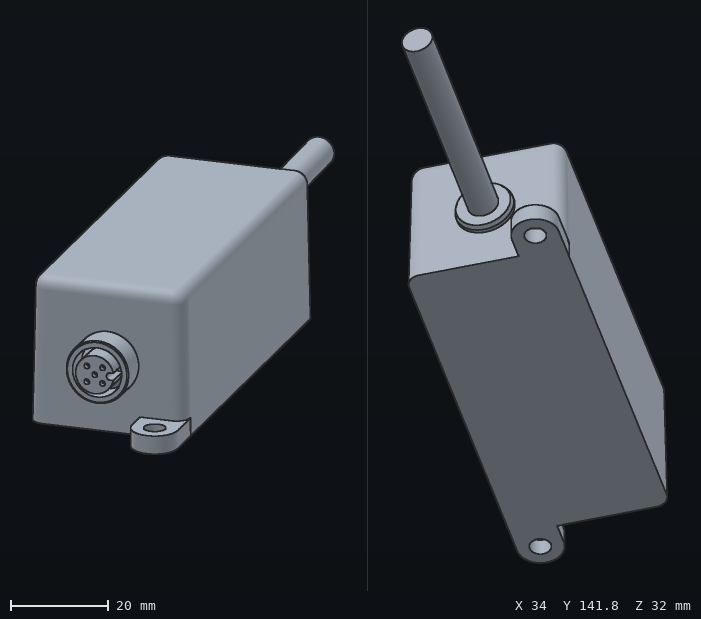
import cadquery as cq
import math

width = 34.0
body_length = 80.0
height = 32.0
draft_angle = 1.0
edge_radius = 3.0

lug_width = 9.9
lug_thickness = 4.0
lug_hole_diameter = 4.5
lug_span = 100.0

port_height = 14.9
port_root = 1.4

socket_diameter = 13.5
socket_length = 6.5
socket_rim_chamfer = 0.3
recess_diameter = 10.6
recess_depth = 5.7
flare_height = 1.3
insert_diameter = 8.2
insert_projection = 1.5
contact_diameter = 1.1
contact_depth = 1.4
contact_offset = 1.7
key_diameter = 1.5

gland_diameter = 12.5
gland_length = 1.8
gland_chamfer_radial = 0.4
gland_chamfer_axial = 1.0
cable_diameter = 6.5
overall_length = 141.8

draft = math.radians(draft_angle)
wall_y = body_length / 2 - port_height * math.tan(draft)
cable_end_y = overall_length - lug_span / 2


def port_plane(side):
    """Plane on an end wall (side is +1 or -1 along Y), normal to the drafted wall."""
    normal = (0, side * math.cos(draft), math.sin(draft))
    return cq.Plane(origin=(0, side * wall_y, port_height), xDir=(1, 0, 0), normal=normal)


def cylinder(plane, diameter, start, end):
    """Cylinder along the plane normal between two offsets from the plane."""
    return cq.Workplane(plane).workplane(offset=start).circle(diameter / 2).extrude(end - start)


def make_housing():
    box = cq.Workplane("XY").rect(width, body_length).extrude(height, taper=draft_angle)
    return box.edges("not <Z").fillet(edge_radius)


def make_lug(side):
    """Lug with a round tip; it lies on the opposite side in X to its side in Y."""
    center_x = -side * (width - lug_width) / 2
    center_y = side * (lug_span - lug_width) / 2
    inner_y = side * (body_length / 2 - edge_radius)
    arm = (
        cq.Workplane("XY")
        .center(center_x, (center_y + inner_y) / 2)
        .rect(lug_width, abs(center_y - inner_y))
        .extrude(lug_thickness)
    )
    tip = cq.Workplane("XY").center(center_x, center_y)
    hole = tip.circle(lug_hole_diameter / 2).extrude(lug_thickness)
    return arm.union(tip.circle(lug_width / 2).extrude(lug_thickness)).cut(hole)


def make_socket():
    plane = port_plane(-1)
    insert_end = socket_length + insert_projection
    shell = cylinder(plane, socket_diameter, -port_root, socket_length)
    shell = shell.faces("<Y").chamfer(socket_rim_chamfer)
    recess_floor = socket_length - recess_depth
    shell = shell.cut(cylinder(plane, recess_diameter, recess_floor, socket_length))

    insert = cylinder(plane, insert_diameter, -port_root, insert_end)
    flare = (
        cq.Workplane(plane)
        .workplane(offset=recess_floor)
        .circle(recess_diameter / 2)
        .workplane(offset=flare_height)
        .circle(insert_diameter / 2)
        .loft(ruled=True)
    )
    insert = insert.union(flare)
    face = cq.Workplane(plane).workplane(offset=insert_end)
    offsets = (-contact_offset, contact_offset)
    positions = [(0, 0)] + [(x, y) for x in offsets for y in offsets]
    contacts = face.pushPoints(positions).circle(contact_diameter / 2).extrude(-contact_depth)
    key_depth = insert_end - recess_floor - flare_height
    key = face.center(insert_diameter / 2 - key_diameter / 2, 0).circle(key_diameter / 2)
    key_groove = key.extrude(-key_depth)
    slot = face.center(insert_diameter / 2, 0).rect(key_diameter, key_diameter)
    key_groove = key_groove.union(slot.extrude(-key_depth))
    return shell.union(insert.cut(contacts).cut(key_groove))


def make_cable():
    plane = port_plane(1)
    gland = cylinder(plane, gland_diameter, -port_root, gland_length)
    gland = gland.faces(">Y").chamfer(gland_chamfer_axial, gland_chamfer_radial)
    rim_reach = cable_diameter / 2 * math.sin(draft)
    cable_length = (cable_end_y - wall_y - rim_reach) / math.cos(draft)
    return gland.union(cylinder(plane, cable_diameter, 0, cable_length))


result = make_housing()
for lug_side in (-1, 1):
    result = result.union(make_lug(lug_side))
result = result.union(make_socket()).union(make_cable())